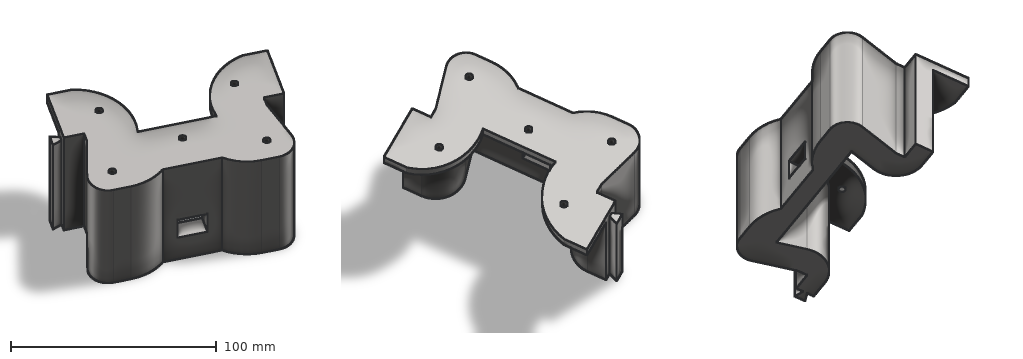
import cadquery as cq
import math

total_height = 65.0
plate_thickness = 5.9
body_height = total_height - plate_thickness

half_width = 55.6
foot_right_x = 30.2
back_x = 70.7
web_back_x = 63.8
flank_angle = math.radians(15)
front_arc_angle = -math.radians(135)

elbow_radius = 15.0
elbow_x = 35.2
elbow_y = 45.4
leg_left_x = elbow_x - elbow_radius
web_front_x = 54.1

corner_radius = 10.0
corner_x = back_x - corner_radius
corner_y = 41.9
back_curve_radius = 27.0
back_curve_y = 33.0

lobe_radius = 30.9
lobe_x = 30.1
lobe_y = 50.1
plate_neck_x = 36.0

hole_diameter = 3.5
front_hole_x = 17.2
front_hole_y = 34.1
center_hole_x = 45.8
rear_hole_x = 58.4
rear_hole_y = 39.0
rear_hole_depth = 11.6
window_width = 15.1
window_height = 12.3
window_bottom = 15.1

rail_x = 25.1
rail_root_width = 2.3
rail_tip_width = 6.0
overall_length = 116.1
rail_depth = overall_length - 2 * half_width


def on_circle(center_x, center_y, radius, angle):
    return (center_x + radius * math.cos(angle), center_y + radius * math.sin(angle))


def circle_y_offset(radius, x_offset):
    return math.sqrt(radius**2 - x_offset**2)


def outer_side(sketch):
    """Continue from the foot's outer right corner round the back to the mid-plane."""
    flank_normal = math.pi / 2 + flank_angle
    curve_x = back_x - back_curve_radius
    web_angle = -math.acos((web_back_x - curve_x) / back_curve_radius)
    return (
        sketch.lineTo(foot_right_x, elbow_y)
        .lineTo(elbow_x, elbow_y)
        .lineTo(*on_circle(corner_x, corner_y, corner_radius, flank_normal))
        .threePointArc(
            on_circle(corner_x, corner_y, corner_radius, flank_normal / 2),
            (back_x, corner_y),
        )
        .lineTo(back_x, back_curve_y)
        .threePointArc(
            on_circle(curve_x, back_curve_y, back_curve_radius, web_angle / 2),
            on_circle(curve_x, back_curve_y, back_curve_radius, web_angle),
        )
        .lineTo(web_back_x, 0)
    )


def body_half():
    """Leg and half of the web, below the top plate."""
    elbow_end_angle = -math.pi / 2 + flank_angle
    elbow_end = on_circle(elbow_x, elbow_y, elbow_radius, elbow_end_angle)
    inner_y = elbow_end[1] + (web_front_x - elbow_end[0]) * math.tan(flank_angle)
    sketch = cq.Workplane("XY").moveTo(leg_left_x, half_width).lineTo(foot_right_x, half_width)
    return (
        outer_side(sketch)
        .lineTo(web_front_x, 0)
        .lineTo(web_front_x, inner_y)
        .lineTo(*elbow_end)
        .threePointArc(
            on_circle(elbow_x, elbow_y, elbow_radius, front_arc_angle),
            (leg_left_x, elbow_y),
        )
        .close()
        .extrude(body_height)
    )


def plate_half():
    """Half of the top plate with its overhanging lobe."""
    neck_y = lobe_y - circle_y_offset(lobe_radius, plate_neck_x - lobe_x)
    lobe_start_y = lobe_y - circle_y_offset(lobe_radius, lobe_x)
    sketch = cq.Workplane("XY").workplane(offset=body_height)
    sketch = sketch.moveTo(0, half_width).lineTo(foot_right_x, half_width)
    return (
        outer_side(sketch)
        .lineTo(plate_neck_x, 0)
        .lineTo(plate_neck_x, neck_y)
        .threePointArc(
            on_circle(lobe_x, lobe_y, lobe_radius, front_arc_angle),
            (0, lobe_start_y),
        )
        .close()
        .extrude(plate_thickness)
    )


def dovetail_rail():
    return (
        cq.Workplane("XY")
        .polyline([
            (rail_x - rail_root_width / 2, -half_width),
            (rail_x + rail_root_width / 2, -half_width),
            (rail_x + rail_tip_width / 2, -half_width - rail_depth),
            (rail_x - rail_tip_width / 2, -half_width - rail_depth),
        ])
        .close()
        .extrude(body_height)
    )


def top_holes(points, depth):
    return (
        cq.Workplane("XY")
        .workplane(offset=total_height - depth)
        .pushPoints(points)
        .circle(hole_diameter / 2)
        .extrude(depth)
    )


def web_window():
    return cq.Workplane("XY").box(
        web_back_x - web_front_x, window_width, window_height, centered=(False, True, False)
    ).translate((web_front_x, 0, window_bottom))


half = body_half().union(plate_half())
result = half.union(half.mirror("XZ")).union(dovetail_rail())

plate_hole_points = [
    (front_hole_x, -front_hole_y),
    (front_hole_x, front_hole_y),
    (center_hole_x, 0),
]
rear_hole_points = [(rear_hole_x, -rear_hole_y), (rear_hole_x, rear_hole_y)]
result = result.cut(top_holes(plate_hole_points, plate_thickness))
result = result.cut(top_holes(rear_hole_points, rear_hole_depth))
result = result.cut(web_window()).clean()